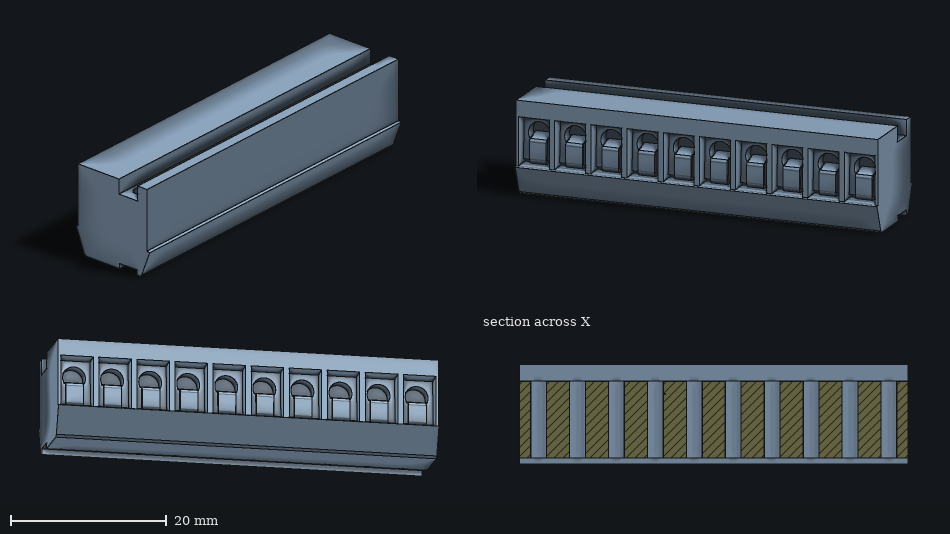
import cadquery as cq
import math

length = 50.0
width = 12.4
height = 12.8
x_min = -width / 2
x_max = width / 2
front_wall_x = x_min + 0.3
rear_wall_x = x_max - 0.45
lip_z = 3.9
lip_rise = 0.1
lip_top_z = lip_z + lip_rise
front_foot_x = x_min + 1.35
rear_foot_x = x_max - 1.35
foot_bevel_x = 0.3
foot_bevel_z = 0.3

screw_x = 2.6
top_groove_width = 3.15
top_groove_depth = 2.15
bottom_groove_width = 2.9
bottom_groove_depth = 0.75

pole_count = 10
pitch = length / pole_count
screw_diameter = 2.0

pocket_width = 4.25
pocket_top_z = 10.6
sill_depth = 0.9
flare_angle = 6.0
flare_slope = math.tan(math.radians(flare_angle))
back_step_z = 4.55
back_depth = 1.7
back_step_depth = 2.25
back_draft = 3.0

wire_radius = 1.5
wire_z = 8.15
wire_floor_z = 7.4
wire_depth = 1.7

clamp_width = 2.3
clamp_depth = 1.35
clamp_straight_bottom_z = 4.7
clamp_straight_top_z = 7.0
clamp_top_radius = 0.5
clamp_top_round_angle = 55.0
clamp_top_tilt = 75.5
clamp_bottom_radius = 0.8
clamp_bottom_angle = 50.0
embed = 0.25

floor_z = lip_top_z + sill_depth * flare_slope
sill_x = front_wall_x + sill_depth
back_x = front_wall_x + back_depth
back_step_x = front_wall_x + back_step_depth
clamp_x = front_wall_x + clamp_depth
draft_slope = math.tan(math.radians(back_draft))


def back_wall_x(z):
    """X position of the drafted back wall at height z."""
    return back_x + (z - back_step_z) * draft_slope


def extrude_centred(profile, y_centre, y_width):
    """Extrude a closed XZ profile by y_width, centred on y_centre."""
    return profile.extrude(y_width / 2, both=True).translate((0, y_centre, 0))


def make_housing():
    outline = [
        (front_foot_x + foot_bevel_x, 0),
        (rear_foot_x - foot_bevel_x, 0),
        (rear_foot_x, foot_bevel_z),
        (x_max, lip_z),
        (rear_wall_x, lip_top_z),
        (rear_wall_x, height),
        (front_wall_x, height),
        (front_wall_x, lip_top_z),
        (x_min, lip_z),
        (front_foot_x, foot_bevel_z),
    ]
    body = extrude_centred(cq.Workplane("XZ").polyline(outline).close(), 0, length)
    top_groove = cq.Workplane("XY").box(top_groove_width, length, 2 * top_groove_depth)
    bottom_groove = cq.Workplane("XY").box(bottom_groove_width, length, 2 * bottom_groove_depth)
    body = body.cut(top_groove.translate((screw_x, 0, height)))
    return body.cut(bottom_groove.translate((screw_x, 0, 0)))


def screw_hole(y):
    return cq.Workplane("XY").center(screw_x, y).circle(screw_diameter / 2).extrude(height)


def wire_pocket(y):
    ceiling_z = pocket_top_z - back_depth * flare_slope
    outline = [
        (front_wall_x, lip_top_z),
        (sill_x, floor_z),
        (back_step_x, floor_z),
        (back_step_x, back_step_z),
        (back_x, back_step_z),
        (back_wall_x(ceiling_z), ceiling_z),
        (front_wall_x, pocket_top_z),
    ]
    return extrude_centred(cq.Workplane("XZ").polyline(outline).close(), y, pocket_width)


def wire_hole(y):
    """Round hole with a flat floor, ending parallel to the drafted back wall."""
    top_z = wire_z + wire_radius
    outline = [
        (clamp_x, wire_floor_z),
        (back_wall_x(wire_floor_z) + wire_depth, wire_floor_z),
        (back_wall_x(top_z) + wire_depth, top_z),
        (clamp_x, top_z),
    ]
    limits = extrude_centred(cq.Workplane("XZ").polyline(outline).close(), y, 2 * wire_radius)
    bore = cq.Workplane("YZ").center(y, wire_z).circle(wire_radius).extrude(width, both=True)
    return bore.intersect(limits)


def rounded_corner(centre_z, radius, angle, side):
    """Mid and end points of a round leaving the clamp face; side is +1 upward, -1 downward."""
    points = []
    for part in (angle / 2, angle):
        tilt = math.radians(part)
        points.append((clamp_x + radius * (1 - math.cos(tilt)), centre_z + side * radius * math.sin(tilt)))
    return points


def clamp_plate(y):
    """Plate with rounded edges; its sloping top runs back as the bed of the wire hole."""
    top_mid, top_end = rounded_corner(clamp_straight_top_z, clamp_top_radius, clamp_top_round_angle, 1)
    low_mid, low_end = rounded_corner(clamp_straight_bottom_z, clamp_bottom_radius, clamp_bottom_angle, -1)
    inner_x = back_wall_x(wire_floor_z) + wire_depth + embed
    top_inner_z = top_end[1] + (inner_x - top_end[0]) / math.tan(math.radians(clamp_top_tilt))
    foot_z = floor_z - embed
    foot_x = low_end[0] + (low_end[1] - foot_z) * math.tan(math.radians(clamp_bottom_angle))
    profile = (
        cq.Workplane("XZ")
        .moveTo(clamp_x, clamp_straight_bottom_z)
        .lineTo(clamp_x, clamp_straight_top_z)
        .threePointArc(top_mid, top_end)
        .lineTo(inner_x, top_inner_z)
        .lineTo(inner_x, foot_z)
        .lineTo(foot_x, foot_z)
        .lineTo(*low_end)
        .threePointArc(low_mid, (clamp_x, clamp_straight_bottom_z))
        .close()
    )
    return extrude_centred(profile, y, clamp_width)


result = make_housing()
for index in range(pole_count):
    pole_y = (index + 0.5) * pitch - length / 2
    result = result.cut(screw_hole(pole_y)).cut(wire_pocket(pole_y)).cut(wire_hole(pole_y))
    result = result.union(clamp_plate(pole_y))